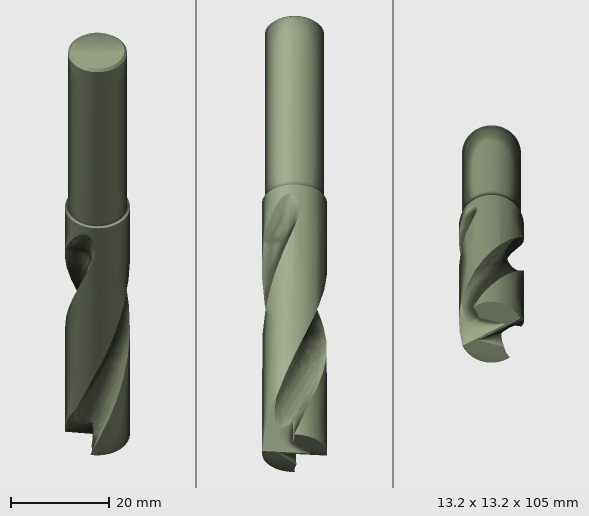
import cadquery as cq
import math

total_length = 105.0
cut_diameter = 13.2
shank_diameter = 12.0
body_length = 62.3
head_length = 33.6
shank_chamfer = 0.5

flute_count = 2
helix_lead = 102.9
helix_length = 51.2
tip_flute_angle = -84.0
flute_half_angle = 34.2
core_radius = 3.0
core_angle = 4.0
runout_height = 12.1
runout_slope = 0.54
runout_lift = 3.4
clearance = 3.2

gash_root = cq.Vector(2.4, 2.2, 0)
gash_top = cq.Vector(1.7, -2.7, 6.0)
gash_outer = cq.Vector(-4.4, -4.9, 0)
gash_reach = 2.0
gash_depth = 12.6

cut_radius = cut_diameter / 2


def polar(radius, angle):
    """Point at an angle in degrees from the local +X axis."""
    turn = math.radians(angle)
    return (radius * math.cos(turn), radius * math.sin(turn))


def flute_profile(z):
    """Closed flute section centred on the local +X axis."""
    rake_edge = polar(cut_radius, flute_half_angle)
    back_edge = polar(cut_radius, -flute_half_angle)
    deepest = polar(core_radius, core_angle)
    outer_x = cut_radius + clearance
    return (
        cq.Workplane("XY", origin=(0, 0, z))
        .moveTo(*rake_edge)
        .threePointArc(deepest, back_edge)
        .lineTo(outer_x, back_edge[1])
        .lineTo(outer_x, rake_edge[1])
        .close()
    )


def flute_helix():
    """Twisted lower part of the flute."""
    twist = 360 * helix_length / helix_lead
    return flute_profile(0).twistExtrude(helix_length, twist).rotate((0, 0, 0), (0, 0, 1), tip_flute_angle)


def flute_runout():
    """Straight upper part of the flute, leaning outward until it leaves the body."""
    section = flute_profile(helix_length).wires().val()
    direction = cq.Vector(runout_lift, runout_slope * runout_height, runout_height)
    end_angle = tip_flute_angle + 360 * helix_length / helix_lead
    runout = cq.Solid.extrudeLinear(section, [], direction)
    return cq.Workplane(runout).rotate((0, 0, 0), (0, 0, 1), end_angle)


def end_gash():
    """Sloping parallelogram through the gash points, extruded towards -Y."""
    across = (gash_outer - gash_root) * gash_reach
    upward = (gash_top - gash_root) * gash_reach
    corners = [gash_root, gash_root + across, gash_root + across + upward, gash_root + upward]
    flat = cq.Wire.makePolygon(corners, close=True)
    return cq.Workplane(cq.Solid.extrudeLinear(flat, [], cq.Vector(0, -gash_depth, 0)))


def fluted_body():
    """Full-diameter cylinder with all flutes and gashes cut."""
    body = cq.Workplane("XY").circle(cut_radius).extrude(body_length)
    for cutter in (flute_helix(), flute_runout(), end_gash()):
        for index in range(flute_count):
            body = body.cut(cutter.rotate((0, 0, 0), (0, 0, 1), 360 * index / flute_count))
    return body


def head_zone():
    """Envelope of the cutting head."""
    return cq.Workplane("XY").circle(cut_diameter).extrude(head_length)


def make_cutting_head(body):
    """Lower body, with the cutting tip."""
    return body.intersect(head_zone())


def make_holder(body):
    """Upper body: the upper ends of the flutes and the plain shank."""
    shank = (
        cq.Workplane("XY", origin=(0, 0, body_length))
        .circle(shank_diameter / 2)
        .extrude(total_length - body_length)
        .faces(">Z")
        .chamfer(shank_chamfer)
    )
    return body.cut(head_zone()).union(shank)


fluted = fluted_body()
cutting_head = make_cutting_head(fluted)
holder = make_holder(fluted)

result = cq.Compound.makeCompound([cutting_head.solids().val(), holder.solids().val()])